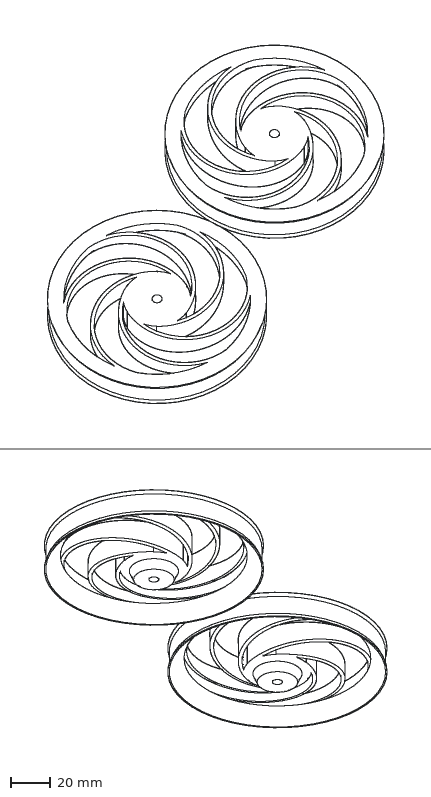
import cadquery as cq

wheel_height = 14.0
tread_radius = 55.0
flange_rise = 0.8
flange_radius = tread_radius + flange_rise
flange_height = 2.0
rim_inner_radius = 47.5
rim_inner_height = 6.0
rim_inner_bottom = wheel_height - rim_inner_height

hub_radius = 17.2
boss_drop = 6.0
wheel_bottom = -boss_drop
boss_end_radius = 10.3
boss_root_radius = 12.5
boss_root_z = -1.1
bore_radius = 2.5

spoke_count = 6
spoke_thickness = 2.0
spoke_mid_radius = 32.7
spoke_outer_radius = spoke_mid_radius + spoke_thickness / 2
spoke_inner_radius = spoke_mid_radius - spoke_thickness / 2
spoke_centre_offset = 16.3
first_spoke_angle = -1.0

wheel_spacing = 120.0


def revolve_profile(points):
    """Revolve a closed (radius, z) profile about the Z axis."""
    return cq.Workplane("XZ").polyline(points).close().revolve(360, (0, 0), (0, 1))


def make_rim():
    """Ring with a flat tread between two flared flanges and a conical underside."""
    return revolve_profile([
        (rim_inner_radius, rim_inner_bottom),
        (tread_radius, 0),
        (flange_radius, 0),
        (tread_radius, flange_height),
        (tread_radius, wheel_height - flange_height),
        (flange_radius, wheel_height),
        (rim_inner_radius, wheel_height),
    ])


def make_hub_and_spokes():
    """Hub disc and spokes at full depth, before the underside is shaped."""
    depth = wheel_height - wheel_bottom
    base = cq.Workplane("XY", origin=(0, 0, wheel_bottom))
    web = base.circle(hub_radius).extrude(depth)
    spoke = (
        base.moveTo(spoke_centre_offset - spoke_outer_radius, 0)
        .threePointArc(
            (spoke_centre_offset, -spoke_outer_radius),
            (spoke_centre_offset + spoke_outer_radius, 0),
        )
        .lineTo(spoke_centre_offset + spoke_inner_radius, 0)
        .threePointArc(
            (spoke_centre_offset, -spoke_inner_radius),
            (spoke_centre_offset - spoke_inner_radius, 0),
        )
        .close()
        .extrude(depth)
    )
    for index in range(spoke_count):
        angle = first_spoke_angle + index * 360 / spoke_count
        web = web.union(spoke.rotate((0, 0, 0), (0, 0, 1), angle))
    return web


def make_underside_limit():
    """Solid of revolution that tapers the boss and slopes the spokes up to the rim."""
    return revolve_profile([
        (0, wheel_bottom),
        (boss_end_radius, wheel_bottom),
        (boss_root_radius, boss_root_z),
        (rim_inner_radius, rim_inner_bottom),
        (tread_radius, 0),
        (tread_radius, wheel_height),
        (0, wheel_height),
    ])


def make_wheel():
    """One complete wheel centred on the Z axis."""
    bore = (
        cq.Workplane("XY", origin=(0, 0, wheel_bottom))
        .circle(bore_radius)
        .extrude(wheel_height - wheel_bottom)
    )
    web = make_hub_and_spokes().intersect(make_underside_limit())
    return make_rim().union(web).cut(bore)


front_wheel = make_wheel()
rear_wheel = front_wheel.mirror("XZ").translate((0, wheel_spacing, 0))

result = cq.Compound.makeCompound([front_wheel.solids().val(), rear_wheel.solids().val()])